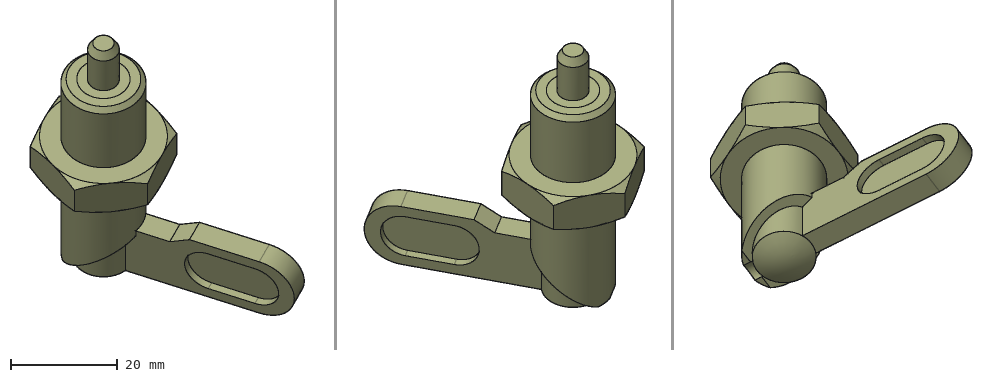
import cadquery as cq
import math


sleeve_radius = 8.0
sleeve_length = 48.2
sleeve_chamfer = 1.0
detent_radius = 2.8
detent_depth = 0.87

cam_start_x = -6.2
cam_angle = 36.1

nut_across_flats = 24.0
nut_height = 8.0
nut_top_z = -16.0
nut_chamfer_angle = 30.0
hexagon_turn = 30.0

tip_radius = 3.0
tip_length = 10.0
tip_end_radius = 2.0
tip_cone_angle = 30.0
rod_radius = 5.0
hub_radius = 6.0
dome_radius = 12.0
overall_height = 60.33

lever_thickness = 4.8
lever_reach = 40.0
grip_height = 14.33
neck_height = 12.0
grip_start_x = 18.6
shoulder_angle = 30.0
pocket_height = 9.67
pocket_left_x = 17.6
pocket_right_x = 36.8
pocket_depth = 1.6

sleeve_bottom_z = -sleeve_length
dome_height = dome_radius - math.sqrt(dome_radius**2 - hub_radius**2)
dome_bottom_z = tip_length - overall_height
lever_bottom_z = dome_bottom_z + dome_height
lever_top_z = lever_bottom_z + grip_height
neck_top_z = lever_bottom_z + neck_height


def cylinder(radius, bottom_z, top_z):
    return cq.Workplane("XY").workplane(offset=bottom_z).circle(radius).extrude(top_z - bottom_z)


def cam_cutter():
    """Wedge below the cam face, which slopes up from cam_start_x towards +X."""
    end_x = 2 * sleeve_radius
    rise = (end_x - cam_start_x) * math.tan(math.radians(cam_angle))
    return (
        cq.Workplane("XZ")
        .moveTo(cam_start_x, sleeve_bottom_z)
        .lineTo(end_x, sleeve_bottom_z)
        .lineTo(end_x, sleeve_bottom_z + rise)
        .close()
        .extrude(sleeve_radius, both=True)
    )


def detent_groove():
    """Shallow round groove across the foot of the sleeve on the -X side."""
    return (
        cq.Workplane("YZ")
        .center(0, sleeve_bottom_z + detent_depth - detent_radius)
        .circle(detent_radius)
        .extrude(-2 * sleeve_radius)
    )


def lever_slot():
    """Slot on the +X side that the neck of the lever passes through."""
    slot_height = neck_top_z - lever_bottom_z
    return (
        cq.Workplane("XY")
        .workplane(offset=lever_bottom_z)
        .center(sleeve_radius, 0)
        .rect(2 * sleeve_radius, lever_thickness)
        .extrude(slot_height)
    )


def make_sleeve():
    sleeve = cylinder(sleeve_radius, sleeve_bottom_z, 0)
    sleeve = sleeve.faces(">Z").chamfer(sleeve_chamfer)
    sleeve = sleeve.cut(cylinder(rod_radius, sleeve_bottom_z, 0))
    sleeve = sleeve.cut(cylinder(hub_radius, sleeve_bottom_z, neck_top_z))
    return sleeve.cut(cam_cutter()).cut(detent_groove()).cut(lever_slot())


def make_nut():
    """Hexagon with flats facing +X and -X and its corners turned off at both ends."""
    flat_radius = nut_across_flats / 2
    corner_radius = flat_radius / math.cos(math.radians(hexagon_turn))
    corner_drop = (corner_radius - flat_radius) * math.tan(math.radians(nut_chamfer_angle))
    bottom_z = nut_top_z - nut_height
    hexagon = (
        cq.Workplane("XY")
        .workplane(offset=bottom_z)
        .transformed(rotate=(0, 0, hexagon_turn))
        .polygon(6, 2 * corner_radius)
        .extrude(nut_height)
    )
    turned_blank = (
        cq.Workplane("XZ")
        .moveTo(sleeve_radius, bottom_z)
        .lineTo(flat_radius, bottom_z)
        .lineTo(corner_radius, bottom_z + corner_drop)
        .lineTo(corner_radius, nut_top_z - corner_drop)
        .lineTo(flat_radius, nut_top_z)
        .lineTo(sleeve_radius, nut_top_z)
        .close()
        .revolve(360, (0, 0, 0), (0, 1, 0))
    )
    return hexagon.intersect(turned_blank)


def plunger():
    """Turned profile from the domed end of the hub up to the tapered pin tip."""
    cone_height = (tip_radius - tip_end_radius) / math.tan(math.radians(tip_cone_angle))
    dome_mid_x = hub_radius / 2
    dome_mid_z = dome_bottom_z + dome_radius - math.sqrt(dome_radius**2 - dome_mid_x**2)
    return (
        cq.Workplane("XZ")
        .moveTo(0, dome_bottom_z)
        .threePointArc((dome_mid_x, dome_mid_z), (hub_radius, lever_bottom_z))
        .lineTo(hub_radius, neck_top_z)
        .lineTo(rod_radius, neck_top_z)
        .lineTo(rod_radius, 0)
        .lineTo(tip_radius, 0)
        .lineTo(tip_radius, tip_length - cone_height)
        .lineTo(tip_end_radius, tip_length)
        .lineTo(0, tip_length)
        .close()
        .revolve(360, (0, 0, 0), (0, 1, 0))
    )


def lever_arm():
    """Flat arm with a narrow neck, a sloping shoulder and a round-ended grip."""
    grip_radius = grip_height / 2
    grip_mid_z = lever_bottom_z + grip_radius
    grip_end_x = lever_reach - grip_radius
    shoulder_run = (lever_top_z - neck_top_z) / math.tan(math.radians(shoulder_angle))
    return (
        cq.Workplane("XZ")
        .moveTo(0, lever_bottom_z)
        .lineTo(grip_end_x, lever_bottom_z)
        .threePointArc((lever_reach, grip_mid_z), (grip_end_x, lever_top_z))
        .lineTo(grip_start_x, lever_top_z)
        .lineTo(grip_start_x - shoulder_run, neck_top_z)
        .lineTo(0, neck_top_z)
        .close()
        .extrude(lever_thickness / 2, both=True)
    )


def grip_pocket(side):
    """Round-ended recess in one face of the grip; side is -1 for -Y and +1 for +Y."""
    middle_x = (pocket_left_x + pocket_right_x) / 2
    middle_z = (lever_bottom_z + lever_top_z) / 2
    floor_y = side * (lever_thickness / 2 - pocket_depth)
    return (
        cq.Workplane("XZ", origin=(middle_x, floor_y, middle_z))
        .slot2D(pocket_right_x - pocket_left_x, pocket_height)
        .extrude(-side * pocket_depth)
    )


def make_lever_plunger():
    lever_plunger = plunger().union(lever_arm())
    for side in (-1, 1):
        lever_plunger = lever_plunger.cut(grip_pocket(side))
    return lever_plunger


sleeve = make_sleeve()
nut = make_nut()
lever_plunger = make_lever_plunger()

result = cq.Compound.makeCompound([sleeve.val(), nut.val(), lever_plunger.val()])